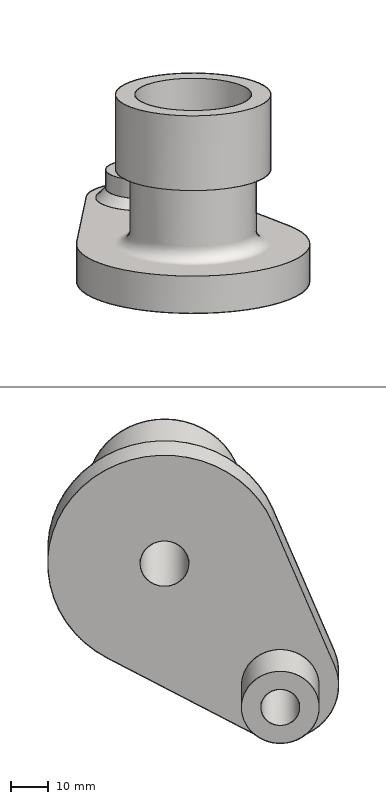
import cadquery as cq
import math

length = 92.6
big_radius = length / 3
small_radius = length / 6
center_distance = length - big_radius - small_radius
plate_thickness = length / 9

socket_height = 41.1
collar_diameter = 41.1
collar_height = 20.55
neck_diameter = 33.4
neck_fillet = (collar_diameter - neck_diameter) / 2
socket_bore_diameter = 30.8
socket_bore_depth = 15.5
socket_hole_diameter = 12.9

pin_diameter = 20.55
pin_drop = 15.5
pin_rise = 7.7
foot_diameter = 25.7
foot_height = (foot_diameter - pin_diameter) / 2
pin_length = pin_drop + plate_thickness + pin_rise
pin_hole_diameter = 10.3


def cylinder(x, z, diameter, height):
    """Vertical cylinder on the X axis of the plate, starting at height z."""
    return cq.Workplane("XY", origin=(x, 0, z)).circle(diameter / 2).extrude(height)


def make_plate():
    """Two round ends joined by their common tangent lines."""
    tangent_cos = (small_radius - big_radius) / center_distance
    tangent_sin = math.sqrt(1 - tangent_cos**2)
    small_x = small_radius * tangent_cos
    small_y = small_radius * tangent_sin
    big_x = center_distance + big_radius * tangent_cos
    big_y = big_radius * tangent_sin
    return (
        cq.Workplane("XY")
        .moveTo(small_x, small_y)
        .lineTo(big_x, big_y)
        .threePointArc((center_distance + big_radius, 0), (big_x, -big_y))
        .lineTo(small_x, -small_y)
        .threePointArc((-small_radius, 0), (small_x, small_y))
        .close()
        .extrude(plate_thickness)
    )


def make_socket():
    """Filleted neck and wider collar, revolved about the column axis."""
    neck_radius = neck_diameter / 2
    collar_radius = collar_diameter / 2
    collar_bottom = socket_height - collar_height
    fillet_middle = neck_fillet * (1 - math.sqrt(0.5))
    return (
        cq.Workplane("XZ", origin=(center_distance, 0, plate_thickness))
        .lineTo(neck_radius + neck_fillet, 0)
        .threePointArc(
            (neck_radius + fillet_middle, fillet_middle),
            (neck_radius, neck_fillet),
        )
        .lineTo(neck_radius, collar_bottom)
        .lineTo(collar_radius, collar_bottom)
        .lineTo(collar_radius, socket_height)
        .lineTo(0, socket_height)
        .close()
        .revolve(360, (0, 0), (0, 1))
    )


def make_pin():
    """Straight pin with a 45 degree foot where it leaves the plate top."""
    pin = cylinder(0, -pin_drop, pin_diameter, pin_length)
    foot = (
        cq.Workplane("XY", origin=(0, 0, plate_thickness))
        .circle(foot_diameter / 2)
        .workplane(offset=foot_height)
        .circle(pin_diameter / 2)
        .loft()
    )
    return pin.union(foot)


body = make_plate().union(make_socket()).union(make_pin())

socket_top = plate_thickness + socket_height
socket_floor = socket_top - socket_bore_depth
socket_bore = cylinder(center_distance, socket_floor, socket_bore_diameter, socket_bore_depth)
socket_hole = cylinder(center_distance, 0, socket_hole_diameter, socket_top)
pin_hole = cylinder(0, -pin_drop, pin_hole_diameter, pin_length)

result = body.cut(socket_bore).cut(socket_hole).cut(pin_hole)